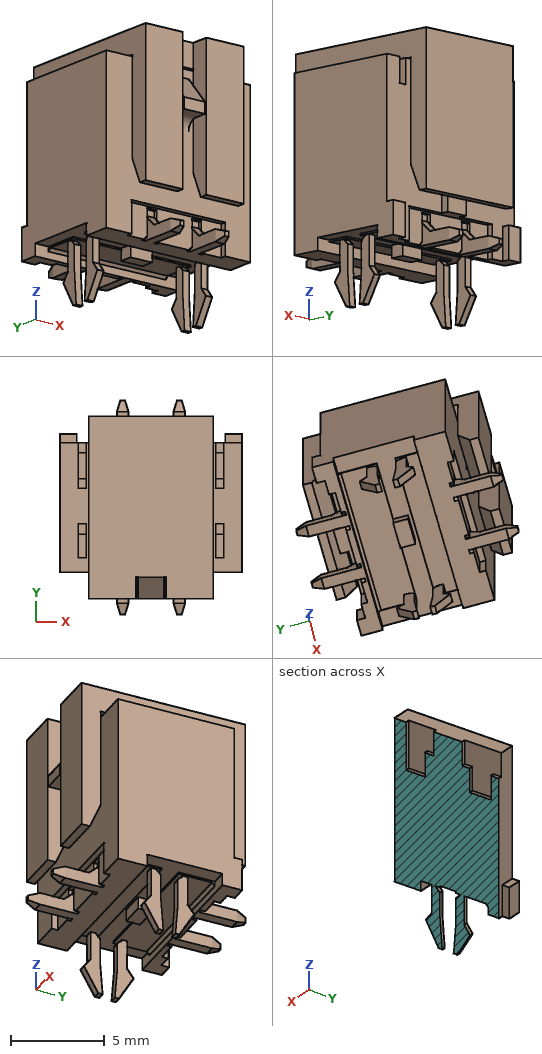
import cadquery as cq


housing_width = 9.7
housing_half_depth = 3.45
housing_height = 9.93

rear_projection = 0.46
foot_width = 0.9
foot_height = 1.9
rib_width = 1.39
rib_top = 8.9

pocket_width = 6.31
pocket_depth = 0.35

relief_rear = 2.74
relief_front = -1.71
relief_height = 0.61
relief_bevel = 0.17
side_relief_height = 0.71
side_relief_width = 0.9

standoff_width = 1.45
standoff_rear = 0.6
standoff_front = -0.23

plate_x = 3.65
plate_thickness = 0.44
shoulder_depth = 1.45
slot_depth = 2.9
rear_slot_front = 1.03
rear_well = (1.54, 2.91)
front_slot = (-2.67, -0.87)
front_well = (-2.67, -1.44)

cap_width = 6.63
cap_half_depth = 4.86
cap_top = 11.41
arm_thickness = 1.15
arm_bottom = 2.61
arm_tip_thickness = 0.5
arm_taper_top = 4.12
cap_slot_width = 1.58

latch_width = 1.39
latch_top = 9.42
nose_top = 7.79
nose_bottom = 7.12
latch_fillet = 0.61

pin_x = 1.51
pin_width = 0.62
pin_height = 0.71
pin_reach = 5.7
pin_taper_start = 5.1
pin_tip_width = 0.26
pin_tip_height = 0.3
bend_outer = 3.68
bend_inner = 2.89
bend_top = 1.44
pin_slot_top = 1.8
slot_flare = 0.2

peg_center = 0.08
prong_inner = 0.51
prong_outer = 1.09
barb_reach = 1.48
tip_inner = 0.36
tip_outer = 0.62
prong_bend = -1.1
taper_top = -1.2
barb_bottom = -1.62
peg_bottom = -3.09
prong_relief_bottom = 0.32
prong_relief = 0.39
prong_root = 1.16

clearance = 0.15


def block(x_range, y_range, z_range):
    """Box given by its limits along the three axes."""
    (x0, x1), (y0, y1), (z0, z1) = x_range, y_range, z_range
    return cq.Workplane("XY").box(x1 - x0, y1 - y0, z1 - z0, centered=False).translate((x0, y0, z0))


def centered_block(width, y_range, z_range):
    """Box centered on X = 0."""
    return block((-width / 2, width / 2), y_range, z_range)


def plate(points, width, x_center):
    """Side profile of (y, z) points, extruded along X about x_center."""
    profile = cq.Workplane("YZ").polyline(points).close()
    return profile.extrude(width / 2, both=True).translate((x_center, 0, 0))


def on_both_sides(solid, plane):
    """The solid together with its mirror image."""
    return solid.union(solid.mirror(plane))


def pin_slots():
    """Pockets, pin slots and their flared lower ends, at front and rear."""
    wall = -housing_half_depth
    floor = wall + pocket_depth
    cut = centered_block(pocket_width, (wall - clearance, floor), (-clearance, foot_height))
    flare_half_width = pin_width / 2 + slot_flare
    for x in (-pin_x, pin_x):
        slot_x = (x - pin_width / 2, x + pin_width / 2)
        cut = cut.union(block(slot_x, (wall, -bend_inner), (0, pin_slot_top)))
        flare = (
            cq.Workplane("XZ", origin=(x, -bend_inner, 0))
            .moveTo(-flare_half_width, 0)
            .lineTo(flare_half_width, 0)
            .lineTo(pin_width / 2, slot_flare)
            .lineTo(-pin_width / 2, slot_flare)
            .close()
            .extrude(housing_half_depth - bend_inner)
        )
        cut = cut.union(flare)
    return on_both_sides(cut, "XZ")


def underside_relief():
    """Relief across the bottom, deeper at the side walls and between the prongs."""
    half_width = housing_width / 2 + clearance
    y_range = (relief_front, relief_rear)
    profile = [
        (relief_front, -clearance),
        (relief_front, relief_height),
        (relief_rear - relief_bevel, relief_height),
        (relief_rear, relief_height - relief_bevel),
        (relief_rear, -clearance),
    ]
    relief = plate(profile, 2 * half_width, 0)
    side_x = (housing_width / 2 - side_relief_width, half_width)
    sides = on_both_sides(block(side_x, y_range, (-clearance, side_relief_height)), "YZ")
    channel_y = (peg_center - prong_inner, peg_center + prong_inner)
    channel = centered_block(2 * half_width, channel_y, (-clearance, side_relief_height))
    return relief.union(sides).union(channel)


def plate_slots():
    """Stepped slots in the housing top; the rear ones open through the rear wall."""
    slot_x = (plate_x - plate_thickness / 2, plate_x + plate_thickness / 2)
    shoulder_z = (housing_height - shoulder_depth, housing_height + clearance)
    well_z = (housing_height - slot_depth, housing_height + clearance)
    rear_slot = (rear_slot_front, housing_half_depth + clearance)
    slots = block(slot_x, rear_slot, shoulder_z)
    slots = slots.union(block(slot_x, rear_well, well_z))
    slots = slots.union(block(slot_x, front_slot, shoulder_z))
    slots = slots.union(block(slot_x, front_well, well_z))
    return on_both_sides(slots, "YZ")


def housing():
    depth_range = (-housing_half_depth, housing_half_depth)
    body = centered_block(housing_width, depth_range, (0, housing_height))
    body = body.cut(pin_slots()).cut(underside_relief()).cut(plate_slots())

    rear_y = (housing_half_depth, housing_half_depth + rear_projection)
    foot_x = (housing_width / 2 - foot_width, housing_width / 2)
    feet = on_both_sides(block(foot_x, rear_y, (0, foot_height)), "YZ")
    rib = centered_block(rib_width, rear_y, (foot_height, rib_top))
    standoff_y = (standoff_front, standoff_rear)
    standoff = centered_block(standoff_width, standoff_y, (0, side_relief_height))
    return body.union(feet).union(rib).union(standoff)


def cap():
    """Top plate with a tapered arm down the front and rear, slotted over the latch."""
    arm_inner = cap_half_depth - arm_thickness
    tip_inner_y = cap_half_depth - arm_tip_thickness
    right_half = [
        (arm_inner, housing_height),
        (arm_inner, arm_taper_top),
        (tip_inner_y, arm_bottom),
        (cap_half_depth, arm_bottom),
        (cap_half_depth, cap_top),
    ]
    left_half = [(-y, z) for y, z in reversed(right_half)]
    body = plate(right_half + left_half, cap_width, 0)
    slot_y = (-cap_half_depth - clearance, -arm_inner)
    slot_z = (arm_bottom - clearance, cap_top + clearance)
    return body.cut(centered_block(cap_slot_width, slot_y, slot_z))


def latch():
    """Ramp with a flat nose and a concave fillet under it."""
    return (
        cq.Workplane("YZ")
        .moveTo(-housing_half_depth, latch_top)
        .lineTo(-cap_half_depth, nose_top)
        .lineTo(-cap_half_depth, nose_bottom)
        .lineTo(-housing_half_depth - latch_fillet, nose_bottom)
        .radiusArc((-housing_half_depth, nose_bottom - latch_fillet), latch_fillet)
        .close()
        .extrude(latch_width / 2, both=True)
    )


def front_pin(x):
    """Pin with a beveled bend at the housing and a pyramid-shaped tip."""
    shank = plate(
        [
            (-bend_inner, 0),
            (-pin_taper_start, 0),
            (-pin_taper_start, pin_height),
            (-bend_outer, pin_height),
            (-bend_inner, bend_top),
        ],
        pin_width,
        x,
    )
    tip = (
        cq.Workplane("XZ", origin=(x, -pin_taper_start, pin_height / 2))
        .rect(pin_width, pin_height)
        .workplane(offset=pin_reach - pin_taper_start)
        .rect(pin_tip_width, pin_tip_height)
        .loft()
    )
    return shank.union(tip)


def pegs():
    """Barbed prongs under both plate slots."""
    prong = [
        (prong_inner + prong_relief, prong_relief_bottom + prong_relief),
        (prong_inner, prong_relief_bottom),
        (prong_inner, taper_top),
        (tip_inner, peg_bottom),
        (tip_outer, peg_bottom),
        (barb_reach, barb_bottom),
        (prong_outer, prong_bend),
        (prong_outer, prong_root),
        (prong_inner + prong_relief, prong_root),
    ]
    pair = on_both_sides(plate(prong, plate_thickness, plate_x), "XZ").translate((0, peg_center, 0))
    return on_both_sides(pair, "YZ")


front_pins = front_pin(-pin_x).union(front_pin(pin_x))
pins = on_both_sides(front_pins, "XZ")

result = housing().union(cap()).union(latch()).union(pins).union(pegs())